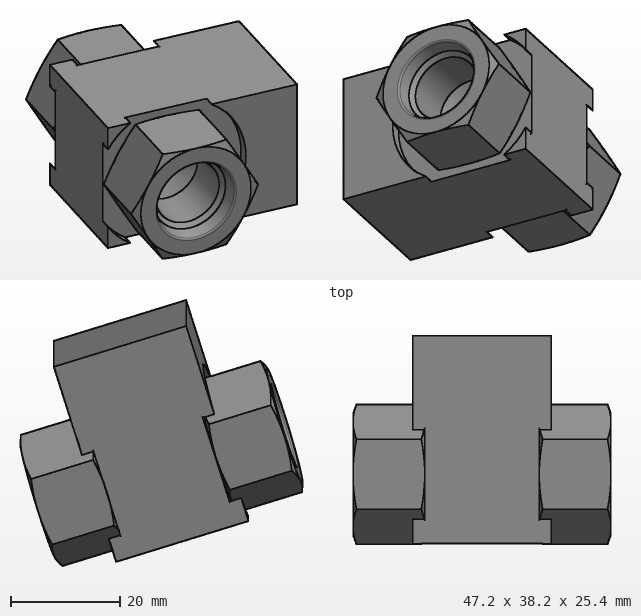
import cadquery as cq
import math

block_side = 25.4
block_back = 25.4

recess_diameter = 30.25
recess_depth = 2.2

overall_length = 47.25
hex_flats = 22.2
chamfer_angle = 20.0

lip_radius = 0.4
seat_angle = 12.0
seat_end_diameter = 14.5
seat_depth = 2.75
land_length = 0.1
drill_diameter = 12.75
drill_point_angle = 118.0

recess_floor_x = block_side / 2 - recess_depth
mouth_x = overall_length / 2
fitting_length = mouth_x - recess_floor_x
hex_corners = hex_flats / math.cos(math.radians(30))
corner_height = (hex_corners - hex_flats) / 2
chamfer_length = corner_height * math.tan(math.radians(chamfer_angle))
seat_mouth_diameter = seat_end_diameter + 2 * seat_depth * math.tan(math.radians(seat_angle))
seat_end_x = mouth_x - seat_depth
land_end_x = seat_end_x - land_length
step_end_x = land_end_x - (seat_end_diameter - drill_diameter) / 2
drill_point_depth = drill_diameter / 2 / math.tan(math.radians(drill_point_angle / 2))


def turned_about_x(profile):
    """Solid of revolution about the port axis from (x, radius) points."""
    return cq.Workplane("XY").polyline(profile).close().revolve(360, (0, 0), (1, 0))


def end_recess():
    """Round recess in the +X end face, with the drill point in its floor."""
    return turned_about_x(
        [
            (recess_floor_x - drill_point_depth, 0),
            (recess_floor_x, drill_diameter / 2),
            (recess_floor_x, recess_diameter / 2),
            (block_side / 2, recess_diameter / 2),
            (block_side / 2, 0),
        ]
    )


def make_block():
    """Block with a recess in both end faces."""
    length_y = block_side / 2 + block_back
    block = cq.Workplane("XY").box(block_side, length_y, block_side, centered=(True, False, True))
    block = block.translate((0, -block_side / 2, 0))
    recess = end_recess()
    return block.cut(recess).cut(recess.mirror("YZ"))


def turned_blank():
    """Bored round blank whose two cone ends trim the hex corners, with a rounded port lip."""
    blank = turned_about_x(
        [
            (recess_floor_x, hex_flats / 2),
            (recess_floor_x + chamfer_length, hex_corners / 2),
            (mouth_x - chamfer_length, hex_corners / 2),
            (mouth_x, hex_flats / 2),
            (mouth_x, seat_mouth_diameter / 2),
            (seat_end_x, seat_end_diameter / 2),
            (land_end_x, seat_end_diameter / 2),
            (step_end_x, drill_diameter / 2),
            (recess_floor_x, drill_diameter / 2),
        ]
    )
    smallest_circle = cq.selectors.RadiusNthSelector(0)
    return blank.faces(">X").edges(smallest_circle).fillet(lip_radius)


def make_fitting():
    """Hex fitting on the +X end, with two corners of the hex along Y."""
    hexagon = cq.Workplane("YZ", origin=(recess_floor_x, 0, 0)).polygon(6, hex_corners).extrude(fitting_length)
    return hexagon.intersect(turned_blank())


block = make_block()
right_fitting = make_fitting()
fittings = [right_fitting.rotate((0, 0, 0), (0, 0, 1), turn) for turn in (0, 180)]

result = cq.Compound.makeCompound([block.val(), *[fitting.val() for fitting in fittings]])